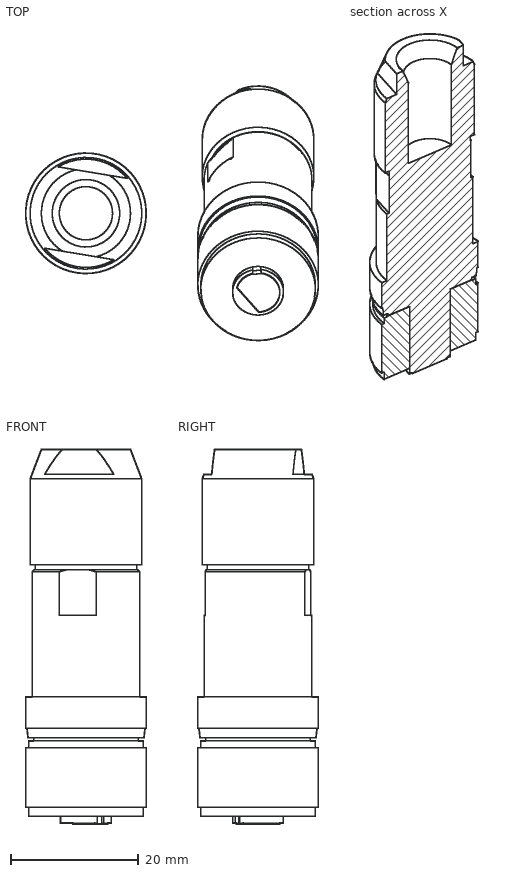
import cadquery as cq

total_height = 59.0
turn_angle = -9.4

head_radius = 8.8
head_top_radius = 7.0
head_cone_start_z = 54.35
head_bottom_z = 40.8
head_flat_distance = 6.5
head_flat_bottom_z = 55.05
head_groove_radius = 8.0

entry_mouth_radius = 5.3
entry_bore_radius = 4.2
entry_cone_depth = 2.8
entry_floor_z = head_bottom_z

sleeve_radius = 8.5
sleeve_top_z = 40.05
sleeve_chamfer = 0.35
sleeve_flat_distance = 7.95
sleeve_flat_bottom_z = 32.85

collar_radius = 9.5
collar_top_z = 20.05
collar_cone_z = 15.1
collar_cone_top_radius = 9.3
collar_bottom_radius = 9.15
collar_bottom_z = 13.55
neck_radius = 8.25

ring_radius = collar_radius
ring_step_radius = 9.0
ring_top_z = 13.1
ring_upper_step_z = 12.05
ring_lower_step_z = 2.65
ring_bottom_z = 1.25

insert_radius = 4.0
insert_face_z = 0.2
face_pad_radius = 3.4
face_pad_cut_x = -2.05
keyway_angle = -54.4
keyway_width = 1.3
keyway_depth = 0.7


def revolved(points):
    """Solid of revolution about Z from a closed list of (radius, z) points."""
    return cq.Workplane("XZ").polyline(points).close().revolve(360, (0, 0, 0), (0, 1, 0))


def flat_cutters(distance, bottom_z, top_z):
    """Two blocks that cut a pair of opposite flats between two heights."""
    width = 2 * collar_radius
    height = top_z - bottom_z
    cutters = cq.Workplane("XY")
    for side in (-1, 1):
        block = (
            cq.Workplane("XY")
            .box(width, width, height, centered=(True, True, False))
            .translate((0, side * (distance + width / 2), bottom_z))
        )
        cutters = cutters.add(block)
    return cutters.combine().rotate((0, 0, 0), (0, 0, 1), turn_angle)


def make_main_outline():
    return revolved([
        (0, insert_face_z),
        (insert_radius, insert_face_z),
        (insert_radius, ring_top_z),
        (neck_radius, ring_top_z),
        (neck_radius, collar_bottom_z),
        (collar_bottom_radius, collar_bottom_z),
        (collar_cone_top_radius, collar_cone_z),
        (collar_radius, collar_cone_z),
        (collar_radius, collar_top_z),
        (sleeve_radius, collar_top_z),
        (sleeve_radius, sleeve_top_z - sleeve_chamfer),
        (sleeve_radius - sleeve_chamfer, sleeve_top_z),
        (head_groove_radius, sleeve_top_z),
        (head_groove_radius, head_bottom_z),
        (head_radius, head_bottom_z),
        (head_radius, head_cone_start_z),
        (head_top_radius, total_height),
        (0, total_height),
    ])


def make_cable_entry():
    cone_bottom_z = total_height - entry_cone_depth
    return revolved([
        (0, entry_floor_z),
        (entry_bore_radius, entry_floor_z),
        (entry_bore_radius, cone_bottom_z),
        (entry_mouth_radius, total_height),
        (0, total_height),
    ])


def make_face_pad():
    pad_length = 2 * face_pad_radius
    keep = (
        cq.Workplane("XY")
        .box(pad_length, pad_length, insert_face_z, centered=(False, True, False))
        .translate((face_pad_cut_x, 0, 0))
    )
    return cq.Workplane("XY").circle(face_pad_radius).extrude(insert_face_z).intersect(keep)


def make_keyway():
    return (
        cq.Workplane("XY")
        .box(2 * keyway_depth, keyway_width, ring_bottom_z, centered=(True, True, False))
        .translate((insert_radius, 0, 0))
        .rotate((0, 0, 0), (0, 0, 1), keyway_angle)
    )


def make_main_body():
    return (
        make_main_outline()
        .union(make_face_pad())
        .cut(make_cable_entry())
        .cut(flat_cutters(head_flat_distance, head_flat_bottom_z, total_height))
        .cut(flat_cutters(sleeve_flat_distance, sleeve_flat_bottom_z, sleeve_top_z))
        .cut(make_keyway())
    )


def make_coupling_ring():
    return revolved([
        (insert_radius, ring_bottom_z),
        (ring_step_radius, ring_bottom_z),
        (ring_step_radius, ring_lower_step_z),
        (ring_radius, ring_lower_step_z),
        (ring_radius, ring_upper_step_z),
        (ring_step_radius, ring_upper_step_z),
        (ring_step_radius, ring_top_z),
        (insert_radius, ring_top_z),
    ])


main_body = make_main_body()
coupling_ring = make_coupling_ring()

result = cq.Compound.makeCompound([main_body.val(), coupling_ring.val()])